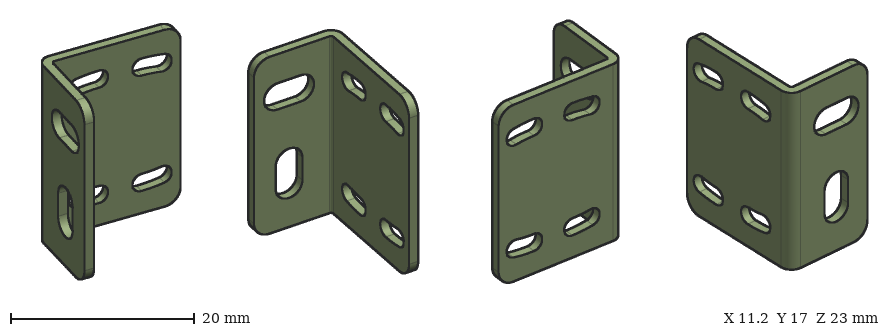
import cadquery as cq
import math

height = 23.0
short_leg = 11.2
long_leg = 17.0
thickness = 1.2
inner_bend_radius = 0.3
outer_bend_radius = inner_bend_radius + thickness
corner_radius = 2.0

straight_slot_length = 6.4
straight_slot_width = 3.4
straight_slot_x = 6.7
horizontal_slot_z = 6.0
vertical_slot_z = -4.5

slot_pattern_y = 9.6
inner_end_offset_y = 2.6
swing_radius = 15.0
swing_angle = math.radians(10)
curved_slot_width = 2.2


def bent_sheet():
    """L-shaped bracket, centred on Z, with its outer bend edge along Z at the origin."""
    sheet = (
        cq.Workplane("XY")
        .polyline([
            (0, 0),
            (short_leg, 0),
            (short_leg, thickness),
            (thickness, thickness),
            (thickness, long_leg),
            (0, long_leg),
        ])
        .close()
        .extrude(height / 2, both=True)
    )
    inner_bend = cq.selectors.NearestToPointSelector((thickness, thickness, 0))
    outer_bend = cq.selectors.NearestToPointSelector((0, 0, 0))
    sheet = sheet.edges("|Z").edges(inner_bend).fillet(inner_bend_radius)
    sheet = sheet.edges("|Z").edges(outer_bend).fillet(outer_bend_radius)
    sheet = sheet.faces(">X").edges("|Y").fillet(corner_radius)
    return sheet.faces(">Y").edges("|X").fillet(corner_radius)


def straight_slot(z, angle):
    """Cutter through the short leg; angle is measured from X in degrees."""
    return (
        cq.Workplane("XZ")
        .center(straight_slot_x, z)
        .slot2D(straight_slot_length, straight_slot_width, angle)
        .extrude(-thickness)
    )


def curved_slot(side_y, side_z):
    """Cutter through the long leg; each side is +1 or -1 from the pattern centre."""
    pivot_y = slot_pattern_y + side_y * inner_end_offset_y
    pivot_z = -side_z * swing_radius / 2

    def swing_point(radius, angle):
        return (
            pivot_y + side_y * radius * math.sin(angle),
            pivot_z + side_z * radius * math.cos(angle),
        )

    def end_tip(angle, direction):
        y, z = swing_point(swing_radius, angle)
        return (
            y + direction * side_y * end_radius * math.cos(angle),
            z - direction * side_z * end_radius * math.sin(angle),
        )

    end_radius = curved_slot_width / 2
    near_radius = swing_radius - end_radius
    far_radius = swing_radius + end_radius
    return (
        cq.Workplane("YZ")
        .moveTo(*swing_point(far_radius, 0))
        .threePointArc(swing_point(far_radius, swing_angle / 2), swing_point(far_radius, swing_angle))
        .threePointArc(end_tip(swing_angle, 1), swing_point(near_radius, swing_angle))
        .threePointArc(swing_point(near_radius, swing_angle / 2), swing_point(near_radius, 0))
        .threePointArc(end_tip(0, -1), swing_point(far_radius, 0))
        .close()
        .extrude(thickness)
    )


result = bent_sheet()
result = result.cut(straight_slot(horizontal_slot_z, 0))
result = result.cut(straight_slot(vertical_slot_z, 90))
for side_y in (-1, 1):
    for side_z in (-1, 1):
        result = result.cut(curved_slot(side_y, side_z))